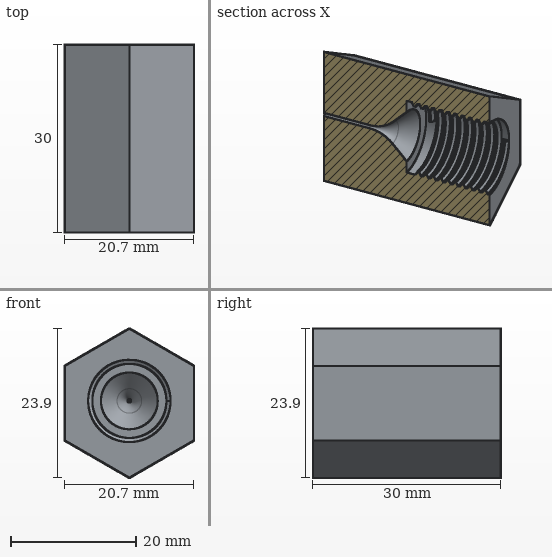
import cadquery as cq
import math

length = 30.0
across_flats = 20.67
across_corners = across_flats / math.cos(math.radians(30))

bore_lift = 0.35
socket_radius = 6.57
socket_depth = 15.0
funnel_radius = 4.53
funnel_angle = math.radians(45)
throat_curve_radius = 5.85
outlet_radius = 0.25

crest_radius = 5.9
thread_length = 13.38
thread_turns = 10
pitch = thread_length / thread_turns
crest_width = 0.3
flank_angle = math.radians(30)
wall_overlap = 0.05


def hexagonal_body():
    """Hexagonal bar from y = 0 to y = length with corners at the top and bottom."""
    bar = cq.Workplane("XY").polygon(6, across_corners).extrude(length)
    return bar.rotate((0, 0, 0), (0, 0, 1), 30).rotate((0, 0, 0), (1, 0, 0), -90)


def bore():
    """Plain socket, conical funnel, rounded throat and straight outlet as one turned solid."""

    def throat_point(angle):
        """Point on the throat curve where its wall leans out from the axis by angle."""
        return (
            outlet_radius + throat_curve_radius * (1 - math.cos(angle)),
            outlet_start - throat_curve_radius * math.sin(angle),
        )

    throat_radius = outlet_radius + throat_curve_radius * (1 - math.cos(funnel_angle))
    funnel_length = (funnel_radius - throat_radius) / math.tan(funnel_angle)
    throat_length = throat_curve_radius * math.sin(funnel_angle)
    outlet_start = socket_depth + funnel_length + throat_length
    return (
        cq.Workplane("XY")
        .lineTo(socket_radius, 0)
        .lineTo(socket_radius, socket_depth)
        .lineTo(funnel_radius, socket_depth)
        .lineTo(*throat_point(funnel_angle))
        .threePointArc(throat_point(funnel_angle / 2), throat_point(0))
        .lineTo(outlet_radius, length)
        .lineTo(0, length)
        .close()
        .revolve(360, (0, 0, 0), (0, 1, 0))
    )


def thread_ridge():
    """Trapezoidal ridge on a helix, starting on the +X side with its foot touching y = 0."""
    foot_radius = socket_radius + wall_overlap
    half_crest = crest_width / 2
    half_foot = half_crest + (foot_radius - crest_radius) * math.tan(flank_angle)
    path = cq.Wire.makeHelix(pitch, thread_length, socket_radius)
    ridge = (
        cq.Workplane("XZ")
        .moveTo(foot_radius, -half_foot)
        .lineTo(crest_radius, -half_crest)
        .lineTo(crest_radius, half_crest)
        .lineTo(foot_radius, half_foot)
        .close()
        .sweep(cq.Workplane(path), isFrenet=True)
    )
    return ridge.rotate((0, 0, 0), (1, 0, 0), -90).translate((0, half_foot, 0))


bore_centre = (0, 0, bore_lift)
result = (
    hexagonal_body()
    .cut(bore().translate(bore_centre))
    .union(thread_ridge().translate(bore_centre))
)